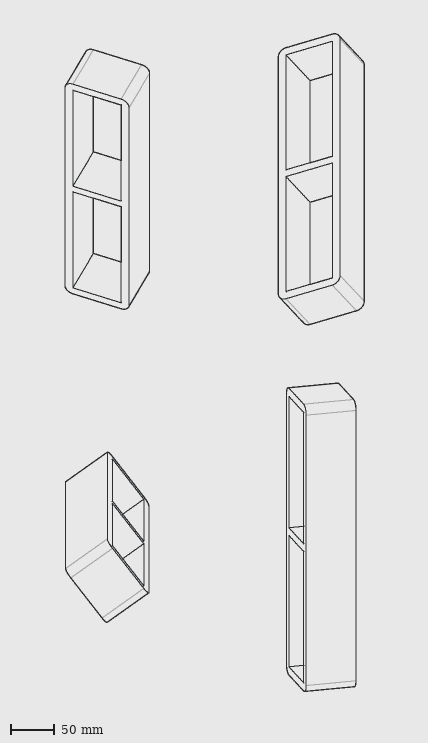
import cadquery as cq

width = 80.5
depth = 60.0
height = 349.0

wall = 10.0
divider = 9.5
corner_radius = 10.0

opening_width = width - 2 * wall
opening_height = (height - 2 * wall - divider) / 2
opening_offset = (divider + opening_height) / 2


def rounded_block():
    """Solid block with its four long edges along Y rounded."""
    return cq.Workplane("XY").box(width, depth, height).edges("|Y").fillet(corner_radius)


def opening(center_z):
    """Rectangular cutter running through the full depth."""
    return cq.Workplane("XY").box(opening_width, depth, opening_height).translate((0, 0, center_z))


result = rounded_block()
for center_z in (-opening_offset, opening_offset):
    result = result.cut(opening(center_z))